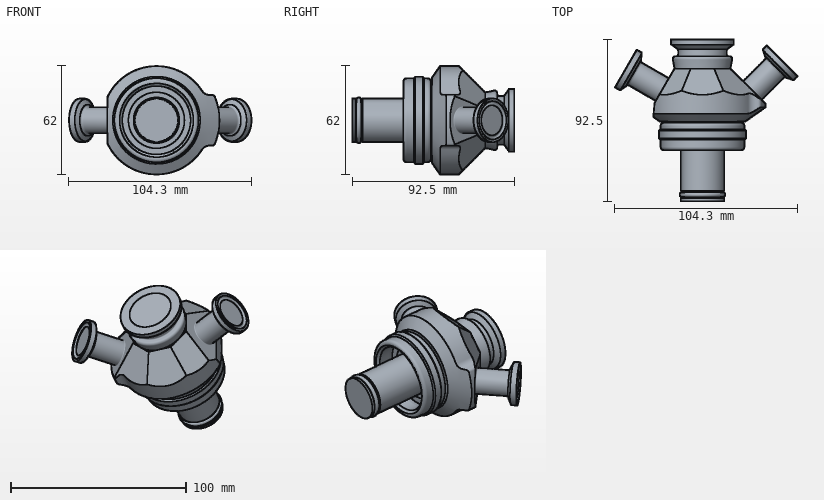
import cadquery as cq
import math


HUB_TOP_RADIUS = 32.0 / 2
HUB_RADIUS = 31.0
HUB_BOTTOM = -30.4
CONE_START = -25.7
HUB_BOTTOM_RADIUS = 24.3
FACETS = 8
LEFT_SLOPE = math.radians(30)
SIDE_FLAT_X = -27.5
SIDE_FLAT_START = -19.7
SIDE_FLAT_DRAFT = math.radians(5)
SPIGOT_RADIUS = 20.0
SPIGOT_END = -35.7

LOBE_RADIUS = 36.0
LOBE_HALF_WIDTH = 14.5
LOBE_ROOT_FILLET = 5.0
LOBE_CORNER_FILLET = 1.9

PORT_RADIUS = 15.0 / 2
PORT_LENGTH = 24.0
PORT_ROOT_FILLET = 0.4
PORT_EMBED = 2.1
PORT_FLANGE_RADIUS = 25.0 / 2
LEFT_PORT_DEPTH = 12.0
RIGHT_PORT_DEPTH = 12.5
RIGHT_SLOPE = math.radians(45)
FLANGE_LAND = 3.0
FLANGE_ROUND = 0.5
FLANGE_CONE_END = 5.1
FLANGE_CONE_RADIUS = 9.0
FLANGE_NECK_END = 6.6
GROOVE_OUTER_RADIUS = 21.8 / 2
GROOVE_BOTTOM_RADIUS = 10.2
GROOVE_DEPTH = 1.5
GROOVE_INNER_RADIUS = 9.3
GROOVE_INNER_DEPTH = 1.3
FACE_RADIUS = 8.6
FACE_DEPTH = 0.7

RING_TOP = -30.9
RING_BOTTOM = -46.7
RING_RADIUS = 48 / 2
RING_ROUND = 1.9
BAND_RADIUS = 50.0 / 2
BAND_TOP = -35.6
BAND_BOTTOM = -39.8
BAND_CHAMFER = 0.8
MOUTH_RADIUS = 21.1
BORE_RADIUS = 39.0 / 2
BORE_FLARE_START = -38.6
MOUTH_CONE = 1.5

CONNECTOR_TOP = 16.7
STEM_RADIUS = 32.0 / 2
CONNECTOR_FLANGE_RADIUS = 36.0 / 2
CONNECTOR_LAND = 2.7
CONNECTOR_CONE_END = 11.1
CONNECTOR_CONE_RADIUS = 14.2
NECK_RADIUS = 28.0 / 2
NECK_START = 10.4
NECK_FILLET = 0.7
COLLAR_TOP = 7.1
COLLAR_SHOULDER = 5.1
COLLAR_RADIUS = 17.0
COLLAR_FACE_RADIUS = 15.6

PLUNGER_RADIUS = 25.0 / 2
PLUNGER_END = -75.8
GLAND_RADIUS = 20.8 / 2
GLAND_WIDTH = 3.4
GLAND_CHAMFER = 0.4
ORING_Y = -72.0
ORING_SECTION_RADIUS = 1.4


def revolve_about_y(profile):
    return profile.close().revolve(360, (0, 0, 0), (0, 1, 0))


def cylinder(radius, top, bottom):
    return cq.Workplane("XZ", origin=(0, top, 0)).circle(radius).extrude(top - bottom)


def hub_pyramid():
    """Octagonal frustum whose faces slope outward at 45 degrees toward -Y."""
    height = -HUB_BOTTOM
    corner_ratio = 1 / math.cos(math.pi / FACETS)

    def octagon(inradius):
        corners = []
        for i in range(FACETS):
            angle = (i + 0.5) * 2 * math.pi / FACETS
            radius = inradius * corner_ratio
            corners.append((radius * math.cos(angle), radius * math.sin(angle)))
        return corners

    pyramid = (
        cq.Workplane("XZ")
        .polyline(octagon(HUB_TOP_RADIUS)).close()
        .workplane(offset=height)
        .polyline(octagon(HUB_TOP_RADIUS + height)).close()
        .loft(ruled=True)
    )
    steep_x = -HUB_TOP_RADIUS + SIDE_FLAT_START * math.tan(LEFT_SLOPE)
    flat_end_x = SIDE_FLAT_X - (SIDE_FLAT_START - HUB_BOTTOM) * math.tan(SIDE_FLAT_DRAFT)
    reach = HUB_TOP_RADIUS + height
    side_envelope = (
        cq.Workplane("XY")
        .polyline([(-HUB_TOP_RADIUS, 0), (steep_x, SIDE_FLAT_START), (flat_end_x, HUB_BOTTOM),
                   (reach, HUB_BOTTOM), (reach, 0)])
        .close()
        .extrude(reach, both=True)
    )
    return pyramid.intersect(side_envelope)


def hub_outline():
    """Round hub with a rounded lobe toward +X, as a prism along Y."""
    height = -HUB_BOTTOM
    lobe = cylinder(LOBE_RADIUS, 0, HUB_BOTTOM).intersect(
        cq.Workplane("XZ")
        .center(LOBE_RADIUS / 2, 0)
        .rect(LOBE_RADIUS, 2 * LOBE_HALF_WIDTH)
        .extrude(height)
    )
    prism = cylinder(HUB_RADIUS, 0, HUB_BOTTOM).union(lobe)

    def lobe_edges(body, radius):
        x = math.sqrt(radius**2 - LOBE_HALF_WIDTH**2)
        tolerance = 0.1
        box = cq.selectors.BoxSelector(
            (x - tolerance, HUB_BOTTOM, -LOBE_RADIUS), (x + tolerance, 0, LOBE_RADIUS)
        )
        return body.edges("|Y").edges(box)

    prism = lobe_edges(prism, LOBE_RADIUS).fillet(LOBE_CORNER_FILLET)
    return lobe_edges(prism, HUB_RADIUS).fillet(LOBE_ROOT_FILLET)


def hub_cone():
    """Cone whose flank trims the lower end of the hub."""
    slope = (HUB_RADIUS - HUB_BOTTOM_RADIUS) / (CONE_START - HUB_BOTTOM)
    cone_height = -HUB_BOTTOM
    return revolve_about_y(
        cq.Workplane("XY").polyline([
            (0, HUB_BOTTOM), (HUB_BOTTOM_RADIUS, HUB_BOTTOM),
            (HUB_BOTTOM_RADIUS + slope * cone_height, 0), (0, 0),
        ])
    )


def port(depth, slope, side):
    """Flanged port standing square on a sloping hub face; side is -1 or +1 in X."""
    root_x = side * (HUB_TOP_RADIUS + depth * math.tan(slope))
    axis = (side * math.cos(slope), math.sin(slope), 0)
    frame = cq.Plane(origin=(root_x, -depth, 0), xDir=(0, 0, 1), normal=(-axis[1], axis[0], 0))
    end = PORT_LENGTH
    land_radius = PORT_FLANGE_RADIUS - FLANGE_ROUND
    round_offset = FLANGE_ROUND * math.sqrt(0.5)
    profile = (
        cq.Workplane(frame)
        .moveTo(0, -PORT_EMBED)
        .lineTo(PORT_RADIUS, -PORT_EMBED)
        .lineTo(PORT_RADIUS, 0)
        .lineTo(PORT_RADIUS + PORT_ROOT_FILLET, 0)
        .radiusArc((PORT_RADIUS, PORT_ROOT_FILLET), PORT_ROOT_FILLET)
        .lineTo(PORT_RADIUS, end - FLANGE_NECK_END)
        .tangentArcPoint((FLANGE_CONE_RADIUS, end - FLANGE_CONE_END), relative=False)
        .lineTo(land_radius, end - FLANGE_LAND - FLANGE_ROUND)
        .threePointArc(
            (land_radius + round_offset, end - FLANGE_LAND - round_offset),
            (PORT_FLANGE_RADIUS, end - FLANGE_LAND),
        )
        .lineTo(PORT_FLANGE_RADIUS, end)
        .lineTo(GROOVE_OUTER_RADIUS, end)
        .threePointArc(
            (GROOVE_BOTTOM_RADIUS, end - GROOVE_DEPTH),
            (GROOVE_INNER_RADIUS, end - GROOVE_INNER_DEPTH),
        )
        .lineTo(FACE_RADIUS, end - FACE_DEPTH)
        .lineTo(0, end - FACE_DEPTH)
        .close()
    )
    return profile.revolve(360, (0, 0, 0), (0, 1, 0))


def make_housing():
    hub = hub_pyramid().intersect(hub_outline()).intersect(hub_cone())
    hub = hub.union(cylinder(SPIGOT_RADIUS, HUB_BOTTOM, SPIGOT_END))
    hub = hub.union(port(LEFT_PORT_DEPTH, LEFT_SLOPE, -1))
    hub = hub.union(port(RIGHT_PORT_DEPTH, RIGHT_SLOPE, 1))
    return hub.cut(cylinder(STEM_RADIUS, 0, SPIGOT_END))


def make_ring():
    profile = cq.Workplane("XY").polyline([
        (SPIGOT_RADIUS, RING_TOP), (RING_RADIUS, RING_TOP),
        (RING_RADIUS, BAND_TOP + BAND_CHAMFER), (BAND_RADIUS, BAND_TOP),
        (BAND_RADIUS, BAND_BOTTOM), (RING_RADIUS, BAND_BOTTOM - BAND_CHAMFER),
        (RING_RADIUS, RING_BOTTOM), (MOUTH_RADIUS, RING_BOTTOM),
        (BORE_RADIUS, RING_BOTTOM + MOUTH_CONE), (BORE_RADIUS, BORE_FLARE_START),
        (SPIGOT_RADIUS, SPIGOT_END),
    ])
    ring = revolve_about_y(profile)
    for end_face in (">Y", "<Y"):
        ring = ring.faces(end_face).edges(cq.selectors.RadiusNthSelector(-1)).fillet(RING_ROUND)
    return ring


def make_connector():
    profile = (
        cq.Workplane("XY")
        .moveTo(PLUNGER_RADIUS, SPIGOT_END)
        .lineTo(STEM_RADIUS, SPIGOT_END)
        .lineTo(STEM_RADIUS, 0)
        .lineTo(COLLAR_RADIUS, COLLAR_SHOULDER)
        .tangentArcPoint((COLLAR_FACE_RADIUS, COLLAR_TOP), relative=False)
        .lineTo(NECK_RADIUS + NECK_FILLET, COLLAR_TOP)
        .radiusArc((NECK_RADIUS, COLLAR_TOP + NECK_FILLET), NECK_FILLET)
        .lineTo(NECK_RADIUS, NECK_START)
        .tangentArcPoint((CONNECTOR_CONE_RADIUS, CONNECTOR_CONE_END), relative=False)
        .lineTo(CONNECTOR_FLANGE_RADIUS - FLANGE_ROUND, CONNECTOR_TOP - CONNECTOR_LAND - FLANGE_ROUND)
        .radiusArc((CONNECTOR_FLANGE_RADIUS, CONNECTOR_TOP - CONNECTOR_LAND), -FLANGE_ROUND)
        .lineTo(CONNECTOR_FLANGE_RADIUS, CONNECTOR_TOP)
        .lineTo(PLUNGER_RADIUS, CONNECTOR_TOP)
    )
    return revolve_about_y(profile)


def make_plunger():
    half_width = GLAND_WIDTH / 2
    edge = PLUNGER_RADIUS - GLAND_CHAMFER
    outer_half_width = half_width + GLAND_CHAMFER
    return revolve_about_y(
        cq.Workplane("XY").polyline([
            (0, PLUNGER_END), (PLUNGER_RADIUS, PLUNGER_END),
            (PLUNGER_RADIUS, ORING_Y - outer_half_width), (edge, ORING_Y - half_width),
            (GLAND_RADIUS, ORING_Y - half_width), (GLAND_RADIUS, ORING_Y + half_width),
            (edge, ORING_Y + half_width), (PLUNGER_RADIUS, ORING_Y + outer_half_width),
            (PLUNGER_RADIUS, CONNECTOR_TOP), (0, CONNECTOR_TOP),
        ])
    )


def make_o_ring():
    ring_radius = GLAND_RADIUS + ORING_SECTION_RADIUS
    torus = cq.Solid.makeTorus(
        ring_radius, ORING_SECTION_RADIUS, cq.Vector(0, ORING_Y, 0), cq.Vector(0, 1, 0)
    )
    return cq.Workplane(torus)


housing = make_housing()
ring = make_ring()
connector = make_connector()
plunger = make_plunger()
o_ring = make_o_ring()

result = cq.Compound.makeCompound(
    [housing.val(), ring.val(), connector.val(), plunger.val(), o_ring.val()]
)